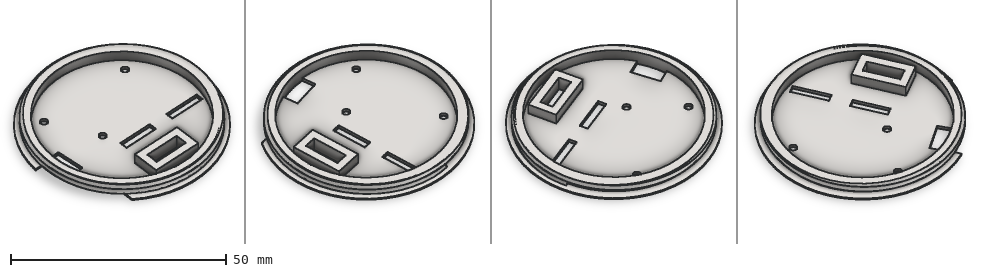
import cadquery as cq

cap_height = 3.75
core_radius = 45.9 / 2
bore_radius = 42.35 / 2
floor_thickness = 0.9
base_chamfer = 0.45

flange_radius = 25.15
flange_thickness = 0.85
flange_cut_left = -2.5
flange_cut_back = -15.3

thread_crest_radius = 47.65 / 2
thread_pitch = 1.5
thread_base_width = 1.1
thread_start_height = 0.8
thread_start_angle = 90
thread_turns = 2.5
thread_overlap = 0.15

boss_center = (15.35, -0.05)
boss_size = (7.3, 13.3)
boss_opening_size = (3.15, 9.25)

pin_hole_diameter = 1.9
pin_hole_centers = [(-12.8, 12.8), (-12.8, -12.8), (-0.15, -6.0)]
slots = [
    {"center": (5.65, 14.6), "size": (2.0, 9.55)},
    {"center": (5.55, 0.0), "size": (2.1, 9.25)},
]
window_corner = (-3.1, -17.3)
window_width = 7.65
window_length = 6.05
window_tilt = 4.6


def make_foot():
    """Flange and core outline in one plate, bevelled inwards along its whole lower edge."""
    flange = cq.Workplane("XY").circle(flange_radius).extrude(flange_thickness)
    missing_corner = cq.Workplane("XY").box(
        2 * flange_radius, 2 * flange_radius, cap_height, centered=False
    ).translate((flange_cut_left, flange_cut_back - 2 * flange_radius, 0))
    core_foot = cq.Workplane("XY").circle(core_radius).extrude(flange_thickness)
    foot = flange.cut(missing_corner).union(core_foot)
    return foot.faces("<Z").edges().chamfer(base_chamfer)


def make_threaded_core():
    """Solid core with a triangular ridge, trimmed level with the top of the cap."""
    untrimmed_height = thread_start_height + (thread_turns + 1) * thread_pitch
    core = (
        cq.Workplane("XY").workplane(offset=base_chamfer)
        .circle(core_radius).extrude(untrimmed_height)
    )
    path = cq.Wire.makeHelix(
        thread_pitch, thread_pitch * thread_turns, core_radius, lefthand=True
    )
    half_base = thread_base_width / 2
    flank_slope = half_base / (thread_crest_radius - core_radius)
    half_root = half_base + thread_overlap * flank_slope
    root_radius = core_radius - thread_overlap
    profile = cq.Workplane("XZ").polyline(
        [(root_radius, -half_root), (thread_crest_radius, 0), (root_radius, half_root)]
    ).close()
    ridge = profile.sweep(cq.Workplane("XY").add(path), isFrenet=True)
    ridge = ridge.rotate((0, 0, 0), (0, 0, 1), thread_start_angle)
    ridge = ridge.translate((0, 0, thread_start_height))
    envelope = cq.Workplane("XY").circle(flange_radius).extrude(cap_height)
    return core.union(ridge).intersect(envelope)


def through_rectangle(center, size):
    return cq.Workplane("XY").center(*center).rect(*size).extrude(cap_height)


def make_window():
    """Tilted rectangle in the floor that stops at the wall of the bore."""
    window = cq.Workplane("XY").box(
        window_width, window_length, floor_thickness, centered=False
    ).translate((0, -window_length, 0))
    window = window.rotate((0, 0, 0), (0, 0, 1), window_tilt)
    window = window.translate((*window_corner, 0))
    return window.intersect(cq.Workplane("XY").circle(bore_radius).extrude(floor_thickness))


bore = (
    cq.Workplane("XY").workplane(offset=floor_thickness)
    .circle(bore_radius).extrude(cap_height - floor_thickness)
)
boss = through_rectangle(boss_center, boss_size)
pin_holes = (
    cq.Workplane("XY").pushPoints(pin_hole_centers)
    .circle(pin_hole_diameter / 2).extrude(floor_thickness)
)

result = make_threaded_core().union(make_foot())
result = result.cut(bore).union(boss)
result = result.cut(through_rectangle(boss_center, boss_opening_size))
for slot in slots:
    result = result.cut(through_rectangle(slot["center"], slot["size"]))
result = result.cut(pin_holes).cut(make_window())